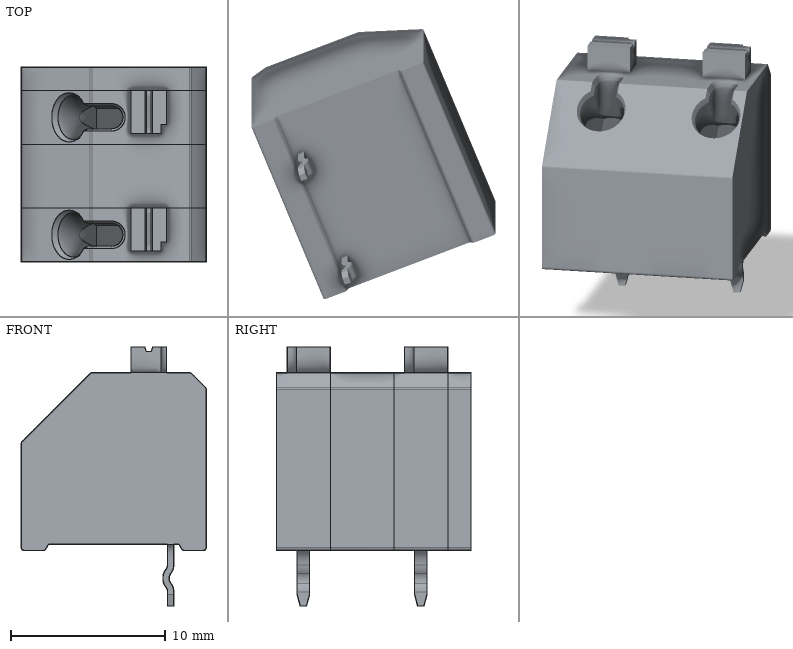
import cadquery as cq
import math

pole_count = 2
pole_width = 3.5
pole_pitch = 7.61
spacer_width = pole_pitch - pole_width
end_plate_width = 1.51
pole_mid = pole_width / 2

length = 12.0
height = 11.52
slope_run = 4.52
rear_chamfer = 1.0
corner_radius = 0.2
foot_length = 1.55
recess_height = 0.4
foot_flank_angle = 30
foot_flank_run = recess_height * math.tan(math.radians(foot_flank_angle))

entry_x = 3.1
entry_z = height - slope_run + entry_x
entry_radius = 1.45
entry_depth = 3.7
flare_width = 0.15
flare_depth = 0.42
slot_half_width = 0.74
slot_end_x = 5.85
ramp_angle = 34.5
ramp_end_x = 4.87
flank_angle = 36
floor_half_width = 0.59

button_x = 7.1
button_length = 2.32
button_width = 2.8
button_height = 1.68
step_length = 0.35
step_depth = 0.6
notch_top_width = 0.5
notch_bottom_width = 0.32
notch_depth = 0.3

pin_x = 9.48
pin_thickness = 0.42
pin_width = 0.82
pin_tip_z = -3.6
pin_tip_width = 0.42
pin_tip_length = 0.75
kink_mid_height = 1.8
kink_mid_z = pin_tip_z + kink_mid_height
kink_offset = 0.3
kink_outer_radius = 0.94
kink_bend_radius = kink_outer_radius / 2


def housing_slice(width):
    """One slice of the housing, from Y = 0 to Y = width."""
    outline = [
        (0, 0),
        (foot_length, 0),
        (foot_length + foot_flank_run, recess_height),
        (length - foot_length - foot_flank_run, recess_height),
        (length - foot_length, 0),
        (length, 0),
        (length, height - rear_chamfer),
        (length - rear_chamfer, height),
        (slope_run, height),
        (0, height - slope_run),
    ]
    block = cq.Workplane("XZ").polyline(outline).close().extrude(-width)
    outer_edges = block.edges("|Y").filter(lambda edge: not math.isclose(edge.Center().z, recess_height))
    return outer_edges.fillet(corner_radius)


def along_axis(depth):
    """XZ point on the axis of the wire hole, at a depth below the slope."""
    shift = depth * math.sqrt(0.5)
    return (entry_x + shift, entry_z - shift)


def slope_plane():
    """Plane on the slope at the wire hole: local X runs up the slope, normal points outward."""
    return cq.Plane(origin=(entry_x, pole_mid, entry_z), xDir=(1, 0, 1), normal=(-1, 0, 1))


def up_slope_plane():
    """Plane across the slope at the wire hole: local X is +Y, local Y points outward."""
    return cq.Plane(origin=(entry_x, pole_mid, entry_z), xDir=(0, 1, 0), normal=(1, 0, 1))


def slot_outline(plane, start, end, half_width):
    """Flat-started, round-ended slot outline on a plane."""
    return (
        cq.Workplane(plane)
        .moveTo(start, -half_width)
        .lineTo(end, -half_width)
        .threePointArc((end + half_width, 0), (end, half_width))
        .lineTo(start, half_width)
        .close()
    )


def entry_shaft():
    """Wire hole and slot, ending on a floor parallel to the slope and on a shallow ramp."""
    hole = cq.Workplane(slope_plane()).circle(entry_radius).extrude(-2 * entry_depth)

    slot_plane = cq.Plane(origin=(0, pole_mid, 0))
    slot = slot_outline(slot_plane, entry_x, slot_end_x, slot_half_width).extrude(height)
    above_axis = (
        cq.Workplane("XZ")
        .polyline([(entry_x, entry_z), along_axis(2 * entry_depth), (length, height), (entry_x, height)])
        .close()
        .extrude(-pole_width)
    )
    slot = slot.intersect(above_axis)

    floor_x, floor_z = along_axis(entry_depth)
    ramp_end_z = floor_z + ramp_end_x - floor_x
    ramp_top_z = ramp_end_z + ramp_end_x * math.tan(math.radians(ramp_angle))
    reach = height - ramp_end_z
    open_zone = (
        cq.Workplane("XZ")
        .polyline([(0, ramp_top_z), (ramp_end_x, ramp_end_z), (ramp_end_x + reach, height), (0, height)])
        .close()
        .extrude(-pole_width)
    )
    return hole.union(slot).intersect(open_zone).cut(flank())


def flank():
    """Wedge that stays solid beside the floor on its +Y side, sloping up to the hole wall."""
    reach = entry_radius
    rise = reach / math.tan(math.radians(flank_angle))
    section = [
        (floor_half_width, -entry_depth),
        (floor_half_width + reach, -entry_depth),
        (floor_half_width + reach, -entry_depth + rise),
    ]
    return cq.Workplane(up_slope_plane()).polyline(section).close().extrude(height, both=True)


def entry_flare():
    """Tapered rim around the hole and the slot, on the slope and on the top face."""
    taper = math.degrees(math.atan2(flare_width, flare_depth))
    hole_rim = cq.Workplane(slope_plane()).circle(entry_radius + flare_width).extrude(-flare_depth, taper=taper)

    half_top = slot_half_width + flare_width
    section = [
        (-half_top, 0),
        (half_top, 0),
        (slot_half_width, -flare_depth),
        (-slot_half_width, -flare_depth),
    ]
    slope_to_corner = (slope_run - entry_x) * math.sqrt(2)
    slope_rim = cq.Workplane(up_slope_plane()).polyline(section).close().extrude(slope_to_corner)

    rim_start = slope_run - flare_depth
    top_plane = cq.Plane(origin=(0, pole_mid, height))
    top_rim = slot_outline(top_plane, rim_start, slot_end_x, half_top).extrude(-flare_depth, taper=taper)
    return hole_rim.union(slope_rim).union(top_rim)


def button():
    """Push button with a screwdriver notch across it and a step in its +X, -Y corner."""
    back_y = pole_width
    front_y = back_y - button_width
    end_x = button_x + button_length
    plan = [
        (button_x, back_y),
        (button_x, front_y),
        (end_x - step_length, front_y),
        (end_x - step_length, front_y + step_depth),
        (end_x, front_y + step_depth),
        (end_x, back_y),
    ]
    block = cq.Workplane("XY").workplane(offset=height).polyline(plan).close().extrude(button_height)

    mid_x = button_x + button_length / 2
    top = height + button_height
    section = [
        (mid_x - notch_top_width / 2, top),
        (mid_x + notch_top_width / 2, top),
        (mid_x + notch_bottom_width / 2, top - notch_depth),
        (mid_x - notch_bottom_width / 2, top - notch_depth),
    ]
    notch = cq.Workplane("XZ").polyline(section).close().extrude(-pole_width)
    return block.cut(notch)


def kink_edge(path, x, bulge_radius, bend_radius, direction):
    """Add one side of the pin's kink; direction is -1 going down and 1 going up."""
    total_radius = bulge_radius + bend_radius
    turn = math.acos(1 - kink_offset / total_radius)
    half_height = total_radius * math.sin(turn)

    def bend_point(angle, side):
        """Point on the bend above (1) or below (-1) the bulge, turned by an angle from the straight."""
        rise = half_height - bend_radius * math.sin(angle)
        return (x - bend_radius * (1 - math.cos(angle)), kink_mid_z + side * rise)

    path = path.lineTo(*bend_point(0, -direction))
    path = path.threePointArc(bend_point(turn / 2, -direction), bend_point(turn, -direction))
    path = path.threePointArc((x - kink_offset, kink_mid_z), bend_point(turn, direction))
    return path.threePointArc(bend_point(turn / 2, direction), bend_point(0, direction))


def pin():
    """Kinked solder pin with a tapered tip."""
    right_x = pin_x + pin_thickness
    path = cq.Workplane("XZ").moveTo(pin_x, recess_height)
    path = kink_edge(path, pin_x, kink_outer_radius, kink_bend_radius, -1)
    path = path.lineTo(pin_x, pin_tip_z).lineTo(right_x, pin_tip_z)
    path = kink_edge(path, right_x, kink_outer_radius - pin_thickness, kink_bend_radius + pin_thickness, 1)
    strip = path.lineTo(right_x, recess_height).close().extrude(-pole_width)

    taper_z = pin_tip_z + pin_tip_length
    face = [
        (pole_mid - pin_width / 2, recess_height),
        (pole_mid - pin_width / 2, taper_z),
        (pole_mid - pin_tip_width / 2, pin_tip_z),
        (pole_mid + pin_tip_width / 2, pin_tip_z),
        (pole_mid + pin_width / 2, taper_z),
        (pole_mid + pin_width / 2, recess_height),
    ]
    return strip.intersect(cq.Workplane("YZ").polyline(face).close().extrude(length))


def pole():
    """Housing slice with its wire entry, push button and solder pin."""
    body = housing_slice(pole_width).cut(entry_shaft()).cut(entry_flare())
    return body.union(button()).union(pin())


poles = [pole().translate((0, index * pole_pitch, 0)) for index in range(pole_count)]
spacer = housing_slice(spacer_width).translate((0, pole_width, 0))
end_plate = housing_slice(end_plate_width).translate((0, pole_pitch + pole_width, 0))

result = cq.Compound.makeCompound([*[body.val() for body in poles], spacer.val(), end_plate.val()])